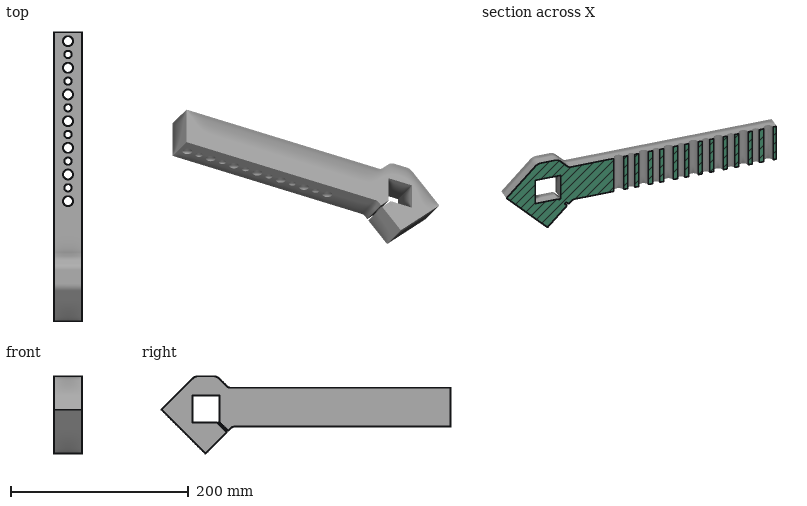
import cadquery as cq
import math

width = 32.0
bar_end_y = 275.0
bar_top_z = 24.0
bar_height = 44.0
head_face_distance = 35.0
lower_face_distance = 36.0
head_top_z = 37.0
upper_neck_y = 25.0
head_top_radius = 10.0
neck_radius = 6.0
window_side = 30.0
slit_width = 2.0
pin_diameter = 10.0
pin_face_distance = 9.0
large_hole_diameter = 11.0
small_hole_diameter = 8.0
hole_pitch = 15.0
hole_count = 13
end_margin = 10.0

half_width = width / 2
diagonal = math.sqrt(0.5)
bar_bottom_z = bar_top_z - bar_height
window_half = window_side / 2
head_reach = head_face_distance / diagonal
lower_reach = lower_face_distance / diagonal
corner_shift = (lower_reach - head_reach) / 2

upper_neck = (upper_neck_y, bar_top_z)
top_bar_side = (upper_neck_y + bar_top_z - head_top_z, head_top_z)
top_tip_side = (head_top_z - head_reach, head_top_z)
tip = (-head_reach - corner_shift, -corner_shift)
bottom_corner = (-corner_shift, -head_reach - corner_shift)
lower_neck = (head_reach + bar_bottom_z, bar_bottom_z)


def extrude_profile(points):
    """Extrude a closed (y, z) outline over the full width."""
    return cq.Workplane("YZ").polyline(points).close().extrude(half_width, both=True)


def fillet_corner(body, corner, radius):
    """Round the edge along X that passes through a (y, z) corner."""
    nearest = cq.selectors.NearestToPointSelector((0, *corner))
    return body.edges(nearest).fillet(radius)


def make_body():
    """Bar and head in one outline, with rounded top and neck corners."""
    body = extrude_profile([
        (bar_end_y, bar_top_z),
        upper_neck,
        top_bar_side,
        top_tip_side,
        tip,
        bottom_corner,
        lower_neck,
        (bar_end_y, bar_bottom_z),
    ])
    for corner in (top_bar_side, top_tip_side):
        body = fillet_corner(body, corner, head_top_radius)
    for corner in (upper_neck, lower_neck):
        body = fillet_corner(body, corner, neck_radius)
    return body


def make_window():
    """Square opening through the head."""
    return cq.Workplane("YZ").rect(window_side, window_side).extrude(half_width, both=True)


def make_slit():
    """Slit from the lower bar-side corner of the window out through the head."""
    step = slit_width * diagonal
    return extrude_profile([
        (window_half, -window_half),
        (head_reach, -head_reach),
        (head_reach - step, -head_reach - step),
        (window_half - step, -window_half - step),
        (window_half - 2 * step, -window_half),
    ])


def make_pin():
    """Round bridge square to the slit, joining its two walls at mid width."""
    offset = (head_face_distance - pin_face_distance) * diagonal
    plane = cq.Plane(origin=(0, offset, -offset), xDir=(1, 0, 0), normal=(0, -1, -1))
    return cq.Workplane(plane).circle(pin_diameter / 2).extrude(slit_width)


def make_hole(y, diameter):
    """Cutter for one vertical hole through the bar."""
    base = cq.Workplane("XY", origin=(0, y, bar_bottom_z))
    return base.circle(diameter / 2).extrude(bar_height)


result = make_body().cut(make_window()).cut(make_slit()).union(make_pin())

for index in range(hole_count):
    hole_diameter = large_hole_diameter if index % 2 == 0 else small_hole_diameter
    hole_y = bar_end_y - end_margin - index * hole_pitch
    result = result.cut(make_hole(hole_y, hole_diameter))